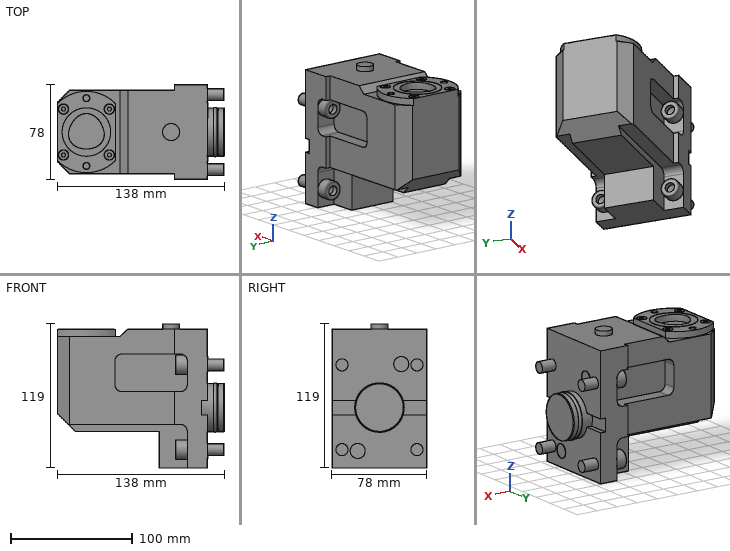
import cadquery as cq
import math

flange_back = 123.8
flange_front = 96.6
flange_height = 114.7
flange_width = 78.0
flange_half_width = flange_width / 2
body_half_width = 34.5
nose_chamfer = 10.2

deck_height = 108.7
ramp_root_x = 51.8
ramp_top_x = 58.1
body_bottom = 30.2
lower_chamfer = 14.9
foot_front = 83.9

seat_x = 107.2
web_half_width = 21.8
recess_radius = 6.0
window_front = 47.5
window_bottom = 63.0
window_top = 94.1
undercut_top = 36.2

screw_y = 30.9
screw_heights = (15.3, 85.1)
screw_head_radius = 8.0
screw_head_length = 9.8
screw_head_rounding = 0.8
screw_shank_radius = 5.0
screw_end_x = 137.3
socket_radius = 4.1
socket_depth = 4.8
drill_point_depth = 2.3

key_depth = 4.8
key_width = 11.9

coupling_z = 50.0
coupling_radius = 20.0
coupling_end_x = 138.0
coupling_edge_length = 1.0
coupling_edge_drop = 0.4
groove_start = 128.9
groove_width = 3.7
groove_radius = 17.8
ring_section_radius = 1.5
ring_x = 130.3
ring_outer_radius = 20.4

seal_radius = 6.2
seal_height = 0.4
seal_centres = ((18.0, 85.8), (-18.0, 14.2))

plate_length = 48.0
plate_centre_x = plate_length / 2
plate_radius = 33.5
plate_top = 114.4
bush_radius = 20.0
bush_rise = 0.3
polygon_radius = 14.6
lobe_count = 3
polygon_lobe = 0.7
polygon_points = 12
plate_screw_offset = 18.9
plate_screw_radius = 4.4
plate_screw_rise = 0.3
plate_screw_chamfer = 0.4
plate_socket_radius = 1.7
plate_socket_depth = 0.8
dowel_offset = 27.9
dowel_radius = 2.9
dowel_groove_width = 0.3
dowel_groove_depth = 0.1

plug_x = 93.8
plug_radius = 7.0
plug_top = 119.0


def x_cylinder(radius, start, end, y, z):
    return cq.Workplane("YZ", origin=(start, y, z)).circle(radius).extrude(end - start)


def z_cylinder(radius, bottom, top, x, y=0):
    return cq.Workplane("XY", origin=(x, y, bottom)).circle(radius).extrude(top - bottom)


def block(x_range, y_range, z_range):
    lengths = [high - low for low, high in (x_range, y_range, z_range)]
    corner = (x_range[0], y_range[0], z_range[0])
    return cq.Workplane("XY").box(*lengths, centered=False).translate(corner)


def make_body():
    body = (
        cq.Workplane("XZ")
        .moveTo(0, body_bottom + lower_chamfer)
        .lineTo(0, deck_height)
        .lineTo(ramp_root_x, deck_height)
        .lineTo(ramp_top_x, flange_height)
        .lineTo(flange_back, flange_height)
        .lineTo(flange_back, 0)
        .lineTo(foot_front, 0)
        .lineTo(foot_front, body_bottom)
        .lineTo(lower_chamfer, body_bottom)
        .close()
        .extrude(body_half_width, both=True)
    )
    for side in (-1, 1):
        corner = (
            cq.Workplane("XY")
            .moveTo(0, side * body_half_width)
            .lineTo(nose_chamfer, side * body_half_width)
            .lineTo(0, side * (body_half_width - nose_chamfer))
            .close()
            .extrude(flange_height)
        )
        body = body.cut(corner)
    flange = block(
        (flange_front, flange_back),
        (-flange_half_width, flange_half_width),
        (0, flange_height),
    )
    return body.union(flange)


def cut_recesses(body):
    window = block(
        (window_front, seat_x), (web_half_width, flange_half_width), (window_bottom, window_top)
    ).edges("|Y").fillet(recess_radius)
    undercut = block(
        (0, seat_x), (web_half_width, flange_half_width), (0, undercut_top)
    ).edges("|Y and >X and >Z").fillet(recess_radius)
    for recess in (window, undercut):
        body = body.cut(recess).cut(recess.mirror("XZ"))
    return body


def cut_keyway(body):
    keyway = block(
        (flange_back - key_depth, flange_back),
        (-flange_half_width, flange_half_width),
        (coupling_z - key_width / 2, coupling_z + key_width / 2),
    )
    return body.cut(keyway)


def mounting_screw(y, z):
    head_front = seat_x - screw_head_length
    head = x_cylinder(screw_head_radius, head_front, seat_x, y, z)
    head = head.faces("<X").fillet(screw_head_rounding)
    shank = x_cylinder(screw_shank_radius, seat_x, screw_end_x, y, z)
    socket = (
        cq.Workplane("XY")
        .moveTo(head_front, 0)
        .lineTo(head_front, socket_radius)
        .lineTo(head_front + socket_depth, socket_radius)
        .lineTo(head_front + socket_depth + drill_point_depth, 0)
        .close()
        .revolve(360, (0, 0, 0), (1, 0, 0))
        .translate((0, y, z))
    )
    return head.union(shank).cut(socket)


def make_coupling():
    groove_end = groove_start + groove_width
    coupling = (
        cq.Workplane("XY")
        .moveTo(flange_back - key_depth, 0)
        .lineTo(flange_back - key_depth, coupling_radius)
        .lineTo(groove_start, coupling_radius)
        .lineTo(groove_start, groove_radius)
        .lineTo(groove_end, groove_radius)
        .lineTo(groove_end, coupling_radius)
        .lineTo(coupling_end_x - coupling_edge_length, coupling_radius)
        .lineTo(coupling_end_x, coupling_radius - coupling_edge_drop)
        .lineTo(coupling_end_x, 0)
        .close()
        .revolve(360, (0, 0, 0), (1, 0, 0))
    )
    ring_axis_y = ring_outer_radius - ring_section_radius
    seal_ring = (
        cq.Workplane("XY")
        .center(ring_x, ring_axis_y)
        .circle(ring_section_radius)
        .revolve(360, (0, -ring_axis_y, 0), (1, -ring_axis_y, 0))
    )
    return coupling.union(seal_ring).translate((0, 0, coupling_z))


def polygon_point(turn):
    angle = 2 * math.pi * turn
    radius = polygon_radius - polygon_lobe * math.sin(lobe_count * angle)
    return (radius * math.cos(angle), radius * math.sin(angle))


def make_plate():
    plate = z_cylinder(plate_radius, deck_height, plate_top, plate_centre_x)
    plate = plate.intersect(
        block((0, plate_length), (-plate_radius, plate_radius), (deck_height, plate_top))
    )
    plate = plate.union(z_cylinder(bush_radius, deck_height, plate_top + bush_rise, plate_centre_x))
    outline = [polygon_point(step / polygon_points) for step in range(polygon_points)]
    seat = (
        cq.Workplane("XY", origin=(plate_centre_x, 0, deck_height))
        .spline(outline, periodic=True)
        .close()
        .extrude(plate_top + bush_rise - deck_height)
    )
    plate = plate.cut(seat)

    head_top = plate_top + plate_screw_rise
    for x_side in (-1, 1):
        for y_side in (-1, 1):
            x = plate_centre_x + x_side * plate_screw_offset
            y = y_side * plate_screw_offset
            head = z_cylinder(plate_screw_radius, deck_height, head_top, x, y)
            head = head.faces(">Z").chamfer(plate_screw_chamfer)
            socket = z_cylinder(plate_socket_radius, head_top - plate_socket_depth, head_top, x, y)
            plate = plate.union(head).cut(socket)

    groove_floor = plate_top - dowel_groove_depth
    pin_radius = dowel_radius - dowel_groove_width
    for side in (-1, 1):
        y = side * dowel_offset
        groove = z_cylinder(dowel_radius, groove_floor, plate_top, plate_centre_x, y)
        pin = z_cylinder(pin_radius, groove_floor, plate_top, plate_centre_x, y)
        plate = plate.cut(groove.cut(pin))
    return plate


result = cut_keyway(cut_recesses(make_body()))
result = result.union(make_coupling())
for height in screw_heights:
    for side in (-1, 1):
        result = result.union(mounting_screw(side * screw_y, height))
for seal_y, seal_z in seal_centres:
    result = result.union(
        x_cylinder(seal_radius, flange_back, flange_back + seal_height, seal_y, seal_z)
    )
result = result.union(make_plate())
result = result.union(z_cylinder(plug_radius, flange_height, plug_top, plug_x))